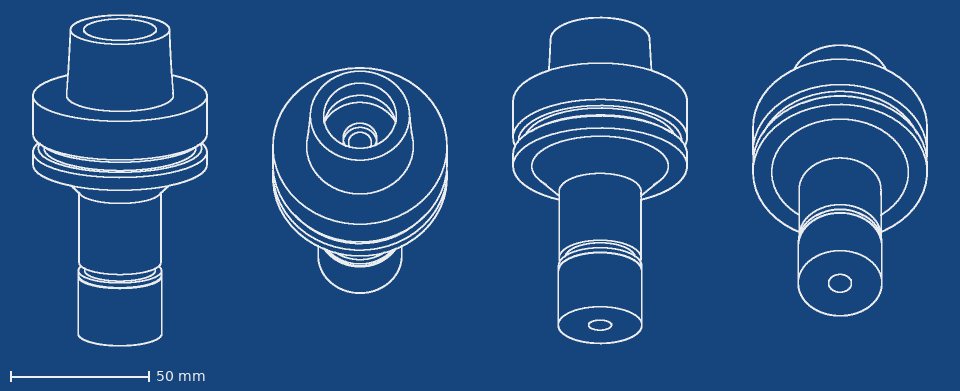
import cadquery as cq

nut_top = 22.0
ring_top = 23.8
neck_top = 26.9
shank_top = 53.8
flange_bottom = 63.9
lower_rim_top = 68.8
groove_bottom = 70.2
groove_top = 74.0
upper_rim_bottom = 75.4
flange_top = 90.0
taper_top = 115.0

nut_radius = 15.2
nut_chamfer = 0.2
ring_radius = 15.1
neck_radius = 12.8
shank_radius = 14.8
cone_top_radius = 24.7
flange_radius = 31.5
groove_radius = 27.5
groove_mouth_radius = 29.5
taper_base_radius = 19.3
taper_tip_radius = 17.9

socket_radius = 13.1
socket_depth = 10.0
middle_bore_radius = 6.1
middle_bore_depth = 3.5
undercut_radius = 14.5
undercut_depth = 8.6
through_bore_radius = 4.1


def tube(bottom, top, outer_radius, inner_radius):
    """Plain hollow cylinder on the Z axis."""
    return (
        cq.Workplane("XY")
        .workplane(offset=bottom)
        .circle(outer_radius)
        .circle(inner_radius)
        .extrude(top - bottom)
    )


def make_holder():
    """Turned holder: neck, shank, cone, grooved flange, taper and stepped bore."""
    socket_floor = taper_top - socket_depth
    undercut_floor = socket_floor - undercut_depth
    middle_bore_floor = undercut_floor - middle_bore_depth
    profile = [
        (through_bore_radius, nut_top),
        (neck_radius, nut_top),
        (neck_radius, neck_top),
        (shank_radius, neck_top),
        (shank_radius, shank_top),
        (cone_top_radius, flange_bottom),
        (flange_radius, flange_bottom),
        (flange_radius, lower_rim_top),
        (groove_mouth_radius, groove_bottom),
        (groove_radius, groove_bottom),
        (groove_radius, groove_top),
        (groove_mouth_radius, groove_top),
        (flange_radius, upper_rim_bottom),
        (flange_radius, flange_top),
        (taper_base_radius, flange_top),
        (taper_tip_radius, taper_top),
        (socket_radius, taper_top),
        (socket_radius, socket_floor),
        (undercut_radius, socket_floor),
        (undercut_radius, undercut_floor),
        (middle_bore_radius, undercut_floor),
        (middle_bore_radius, middle_bore_floor),
        (through_bore_radius, middle_bore_floor),
    ]
    return cq.Workplane("XZ").polyline(profile).close().revolve(360, (0, 0, 0), (0, 1, 0))


holder = make_holder()

ring = tube(nut_top, ring_top, ring_radius, neck_radius)

nut = tube(0, nut_top, nut_radius, through_bore_radius)
nut_top_rim = cq.selectors.RadiusNthSelector(-1)
nut = nut.faces(">Z").edges(nut_top_rim).chamfer(nut_chamfer)

result = cq.Compound.makeCompound([holder.val(), ring.val(), nut.val()])